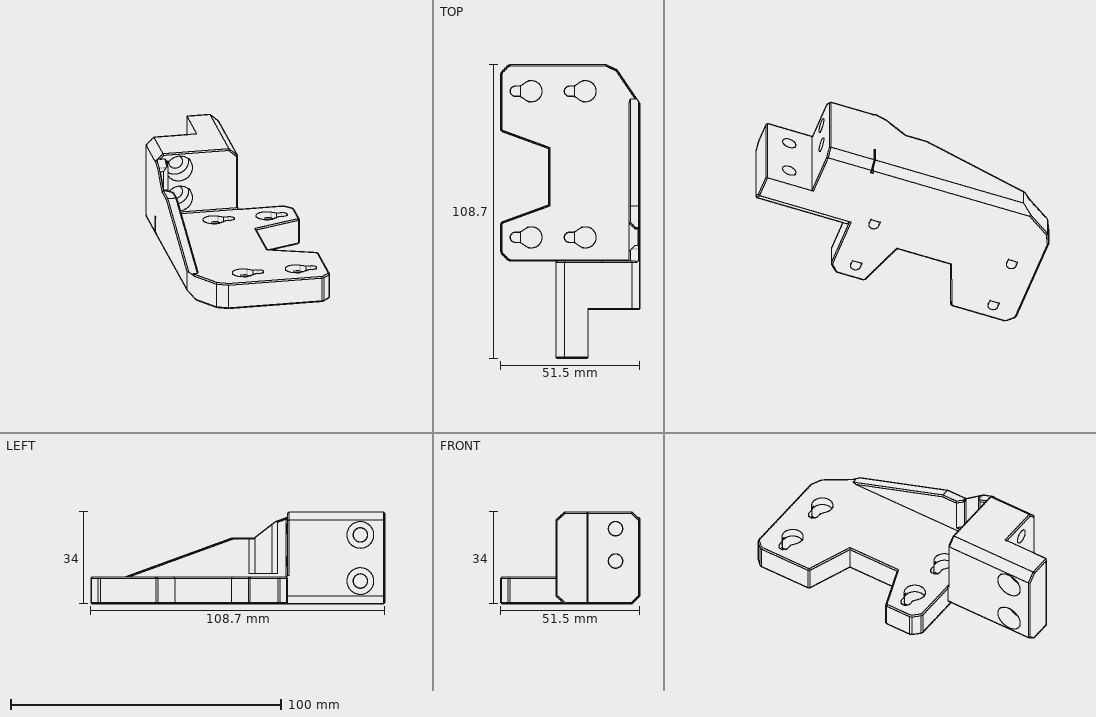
import cadquery as cq
import math

width = 51.5
length = 108.7
height = 34.0
edge_break = 0.5

plate_thickness = 10.0
plate_front = 36.0
plate_corner = 3.0
notch_depth = 17.7
notch_floor = (56.7, 77.6)
notch_flare = notch_depth * math.tan(math.radians(20))
clipped_corner = [(width, 94.2), (43.0, 106.7), (38.8, length)]

keyhole_x = (11.4, 31.4)
keyhole_y = (44.8, 98.8)
head_diameter = 7.8
head_depth = 3.4
track_height = 1.0
slot_width = 3.7
slot_end = 4.1
slot_tip = 7.8

block_left = 20.4
block_corner = 2.9
block_left_bevel = 3.3
leg_right = 32.4
step_y = 18.0

screw_diameter = 5.2
counterbore_diameter = 9.9
counterbore_depth = 7.0
leg_hole_y = 9.0
leg_hole_z = (8.5, 25.5)
step_hole_x = 42.5
step_hole_z = (15.9, 27.8)

gusset_inner = 47.5
gusset_slope = math.tan(math.radians(20))
shelf_z = 24.5
shelf_back = 56.3
shelf_front = 48.1
ramp_top = 40.4
ramp_rise = 6.0
relief_floor_x = 50.9
relief_bottom = 11.3
relief_y = (39.6, 50.1)
relief_bevel = 2.2

overlap = 1.1


def plate_outline():
    front, back = plate_front, length
    low, high = notch_floor
    points = [
        (plate_corner, front),
        (width, front),
        *clipped_corner,
        (plate_corner, back),
        (0, back - plate_corner),
        (0, high + notch_flare),
        (notch_depth, high),
        (notch_depth, low),
        (0, low - notch_flare),
        (0, front + plate_corner),
    ]
    return cq.Workplane("XY").polyline(points).close()


def make_plate():
    plate = plate_outline().extrude(plate_thickness)
    left_corners = cq.selectors.BoxSelector(
        (-overlap, 0, -overlap), (plate_corner + overlap, length + overlap, height)
    )
    plate = plate.edges("|Z").edges(left_corners).chamfer(edge_break)
    return plate.faces("<Z or >Z").edges().chamfer(edge_break)


def keyhole(x, y):
    """Round entry with tangent flanks, a slot through the plate and a head track under the flanks."""
    radius = head_diameter / 2
    floor_z = plate_thickness - head_depth
    mouth = (-slot_end, slot_width / 2)
    distance = math.hypot(*mouth)
    angle = math.atan2(mouth[1], mouth[0]) - math.acos(radius / distance)
    touch = (radius * math.cos(angle), radius * math.sin(angle))
    pocket = (
        cq.Workplane("XY", origin=(x, y, floor_z))
        .moveTo(mouth[0], -mouth[1])
        .lineTo(touch[0], -touch[1])
        .threePointArc((radius, 0), touch)
        .lineTo(*mouth)
        .close()
        .extrude(head_depth)
    )
    slot_radius = slot_width / 2
    slot = (
        cq.Workplane("XY", origin=(x, y, 0))
        .moveTo(-slot_end, -slot_radius)
        .lineTo(-slot_end, slot_radius)
        .lineTo(slot_radius - slot_tip, slot_radius)
        .threePointArc((-slot_tip, 0), (slot_radius - slot_tip, -slot_radius))
        .close()
        .extrude(plate_thickness)
    )
    track = (
        cq.Workplane("XY", origin=(x - slot_end / 2, y, floor_z))
        .rect(slot_end, head_diameter)
        .extrude(track_height)
    )
    return pocket.union(slot).union(track)


def block_section(back):
    """Bevelled block profile, extruded from the front of the part to the given Y."""
    profile = [
        (block_left + block_left_bevel, 0),
        (width - block_corner, 0),
        (width, block_corner),
        (width, height - block_corner),
        (width - block_corner, height),
        (block_left + block_left_bevel, height),
        (block_left, height - block_corner),
        (block_left, block_corner),
    ]
    return cq.Workplane("XZ").polyline(profile).close().extrude(-back)


def make_block():
    block = block_section(plate_front)
    step = cq.Workplane("XY").box(width, step_y, height, centered=False).translate((leg_right, 0, 0))
    block = block.cut(step)
    block = block.faces("<Y or >Y").edges().chamfer(edge_break)
    step_rim = cq.selectors.BoxSelector(
        (leg_right + overlap, step_y - edge_break, -overlap),
        (width + overlap, step_y + edge_break, height + overlap),
    )
    return block.edges(step_rim).chamfer(edge_break)


def make_gusset():
    """Side rib: a long slope up to a flat shelf, then a ramp and a short slope into the block."""

    def slope_y(z):
        return shelf_back + (shelf_z - z) / gusset_slope

    ramp_z = shelf_z + ramp_rise
    root_z = plate_thickness - overlap
    root_y = plate_front - overlap
    profile = [
        (root_y, root_z),
        (slope_y(root_z), root_z),
        (shelf_back, shelf_z),
        (shelf_front, shelf_z),
        (ramp_top, ramp_z),
        (root_y, ramp_z + (ramp_top - root_y) * gusset_slope),
    ]
    gusset = (
        cq.Workplane("YZ", origin=(gusset_inner, 0, 0))
        .polyline(profile)
        .close()
        .extrude(width - gusset_inner)
    )
    gusset = gusset.faces("<X or >X").edges().chamfer(edge_break).cut(make_relief())
    allowed = plate_outline().extrude(height).union(block_section(plate_front))
    return gusset.intersect(allowed)


def relief_prism(bottom, depth, taper=0):
    front, back = relief_y
    bevel_x = gusset_inner + relief_bevel
    points = [
        (gusset_inner - overlap, front),
        (gusset_inner, front),
        (bevel_x, front + relief_bevel),
        (relief_floor_x, front + relief_bevel),
        (relief_floor_x, back - relief_bevel),
        (bevel_x, back - relief_bevel),
        (gusset_inner, back),
        (gusset_inner - overlap, back),
    ]
    outline = cq.Workplane("XY", origin=(0, 0, bottom)).polyline(points).close()
    return outline.extrude(depth, taper=taper)


def make_relief():
    """Relief pocket, open at the top, with a broken edge where it meets the shelf."""
    pocket = relief_prism(relief_bottom, height)
    rim = relief_prism(shelf_z - edge_break, edge_break, taper=-45)
    behind_ramp = cq.Workplane("XY").box(relief_floor_x, length, height, centered=False)
    rim = rim.intersect(behind_ramp.translate((0, shelf_front - relief_bevel, 0)))
    return pocket.union(rim)


def make_root_bevel():
    """Bevels that fill the inside corners behind the block, along the plate and the gusset."""
    front, back = plate_front - edge_break, plate_front + edge_break
    plate_bevel = (
        cq.Workplane("YZ", origin=(block_left, 0, 0))
        .moveTo(front, 0)
        .lineTo(back, 0)
        .lineTo(back, plate_thickness)
        .lineTo(plate_front, plate_thickness + edge_break)
        .lineTo(front, plate_thickness + edge_break)
        .close()
        .extrude(gusset_inner - block_left)
    )
    gusset_bevel = (
        cq.Workplane("XY")
        .moveTo(gusset_inner, front)
        .lineTo(gusset_inner - edge_break, front)
        .lineTo(gusset_inner - edge_break, plate_front)
        .lineTo(gusset_inner, back)
        .close()
        .extrude(height - block_corner)
    )
    return plate_bevel.union(gusset_bevel).intersect(block_section(back))


def along_x(diameter, x, depth):
    centres = [(leg_hole_y, z) for z in leg_hole_z]
    return cq.Workplane("YZ", origin=(x, 0, 0)).pushPoints(centres).circle(diameter / 2).extrude(depth)


def along_y(diameter, y, depth):
    centres = [(step_hole_x, z) for z in step_hole_z]
    return cq.Workplane("XZ", origin=(0, y, 0)).pushPoints(centres).circle(diameter / 2).extrude(-depth)


def make_lower_bevel():
    """Cutter for the bevel that runs along the whole lower right edge."""
    return (
        cq.Workplane("XZ")
        .moveTo(width - block_corner, 0)
        .lineTo(width, block_corner)
        .lineTo(width, 0)
        .close()
        .extrude(-length)
    )


result = make_plate().union(make_block()).union(make_gusset()).union(make_root_bevel())

for x in keyhole_x:
    for y in keyhole_y:
        result = result.cut(keyhole(x, y))

result = result.cut(along_x(screw_diameter, block_left, width))
result = result.cut(along_x(counterbore_diameter, block_left, counterbore_depth))
result = result.cut(along_y(screw_diameter, 0, plate_front + overlap))
result = result.cut(
    along_y(counterbore_diameter, plate_front - counterbore_depth, counterbore_depth + overlap)
)

result = result.cut(make_lower_bevel())